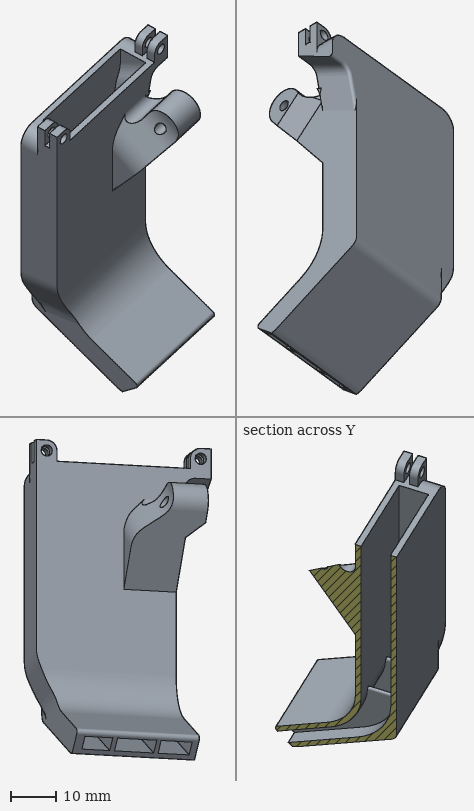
import cadquery as cq
import math


body_depth = 10.05
body_width = 40.0
wall = 1.5
lower_side_y = 4.0
far_side_y = 32.0
rim_corner_radius = 4.0

arm_slope = math.atan(0.5)
arm_floor_z = -56.4
arm_roof_z = -54.43
roof_bend_radius = 12.0
floor_bend_radius = 16.0
heel_radius = 2.5
tip_low_x = 25.15
tip_low_z = -68.7
tip_floor_radius = 5.0
tip_roof_radius = 0.85
tip_roof_corner_x = 29.85
tip_heel_x = 24.0

taper_top_z = -45.3
taper_bottom_z = -55.4
taper_radius = 10.0
taper_rise = math.tan(math.radians(8.8))

shoulder_z = -7.95
shoulder_corner_y = 34.4
shoulder_end_y = 31.8
shoulder_end_z = -19.5
shoulder_radius = 2.5
shoulder_rise = math.tan(math.radians(30))
shoulder_edge_radius = 0.65

cavity_near_y = 6.0
cavity_inlet_far_y = 34.0
cavity_far_y = far_side_y - wall
cavity_bevel_top_z = -6.9
cavity_knee_y = 32.65
cavity_knee_z = -9.3
cavity_bevel_end_z = -19.0
cavity_bevel_radius = 6.5

vane_top_z = -47.0
short_vane_y = 12.9
short_vane_thickness = 1.1
short_vane_start_x = 5.4
long_vane_y = 22.9
long_vane_thickness = 1.0

hole_diameter = 2.5
ear_start_x = 4.6
ear_height = 4.65
ear_length = 4.75
ear_radius = 2.35
ear_slot_x = 6.65
ear_slot_width = 1.3

lug_hole_x = 17.9
lug_hole_z = -9.48
lug_radius = 4.35
lug_slope = math.radians(33.4)
lug_root_z = -28.0
lug_notch_x = 12.0
lug_notch_radius = 2.0
lug_near_tip_y = 28.0
lug_near_root_y = 20.0
lug_far_y = 36.0
lug_step_radius = 6.0
lug_step_high = 2.0
lug_step_low = -4.6
lug_bevel_slope = math.radians(43.5)
lug_bevel_high = 3.5
lug_bevel_low = -0.3
lug_flare_x = 13.7

reach = 100.0


def rounded_outline(corners):
    """Point or (start, middle, end) arc for each (u, v, radius) corner; radius 0 is sharp."""
    count = len(corners)
    stretches = []
    for i in range(count):
        u, v, radius = corners[i]
        if radius == 0:
            stretches.append([(u, v)])
            continue
        corner = cq.Vector(u, v)
        before = (cq.Vector(*corners[i - 1][:2]) - corner).normalized()
        after = (cq.Vector(*corners[(i + 1) % count][:2]) - corner).normalized()
        half_angle = before.getAngle(after) / 2
        tangent = radius / math.tan(half_angle)
        bisector = (before + after).normalized()
        middle = corner + bisector * (radius / math.sin(half_angle) - radius)
        start = corner + before * tangent
        end = corner + after * tangent
        stretches.append([(p.x, p.y) for p in (start, middle, end)])
    return stretches


def draw(plane, corners):
    """Closed wire through the rounded corners on a base plane."""
    stretches = rounded_outline(corners)
    sketch = cq.Workplane(plane).moveTo(*stretches[0][-1])
    for stretch in stretches[1:] + stretches[:1]:
        sketch = sketch.lineTo(*stretch[0])
        if len(stretch) == 3:
            sketch = sketch.threePointArc(*stretch[1:])
    return sketch.close()


def slab(corners, y_start, y_end):
    """Solid with an XZ outline between two Y positions."""
    return draw("XZ", corners).extrude(y_start - y_end).translate((0, y_start, 0))


def slanted_prism(corners, rise):
    """Endless prism with the YZ outline at X = 0, climbing by rise per unit of X."""
    wire = draw("YZ", corners).val()
    half = cq.Vector(reach, 0, reach * rise)
    return cq.Workplane(cq.Solid.extrudeLinear(wire, [], half * 2)).translate(half * -1)


def box(x0, x1, y0, y1, z0, z1):
    """Block between pairs of X, Y and Z positions."""
    return cq.Workplane().box(x1 - x0, y1 - y0, z1 - z0, centered=False).translate((x0, y0, z0))


def floor_z(x):
    """Height of the arm underside."""
    return arm_floor_z - x * math.tan(arm_slope)


def roof_z(x):
    """Height of the arm top."""
    return arm_roof_z - (x - body_depth) * math.tan(arm_slope)


def duct_outline(outer_radius):
    """XZ outline of the bent duct with the given outer bend radius."""
    return [
        (0, 0, 0),
        (0, arm_floor_z, outer_radius),
        (tip_heel_x, floor_z(tip_heel_x), tip_floor_radius),
        (tip_low_x, tip_low_z, 0),
        (tip_roof_corner_x, roof_z(tip_roof_corner_x), tip_roof_radius),
        (body_depth, arm_roof_z, roof_bend_radius),
        (body_depth, 0, 0),
    ]


def make_body():
    """Bent duct with its tapered side and the overhanging shoulder, still solid."""
    main = slab(duct_outline(heel_radius), lower_side_y, far_side_y)
    near = slab(duct_outline(floor_bend_radius), 0, lower_side_y)
    taper = [
        (-1, 0, 0),
        (0, 0, 0),
        (0, taper_top_z, taper_radius),
        (lower_side_y, taper_bottom_z, taper_radius),
        (lower_side_y, -reach, 0),
        (-1, -reach, 0),
    ]
    near = near.cut(slanted_prism(taper, taper_rise))
    shoulder = box(0, body_depth, far_side_y, body_width, shoulder_end_z, 0)
    under = [
        (body_width + 1, shoulder_z, 0),
        (shoulder_corner_y, shoulder_z, shoulder_radius),
        (shoulder_end_y, shoulder_end_z, 0),
        (shoulder_end_y, -reach, 0),
        (body_width + 1, -reach, 0),
    ]
    shoulder = shoulder.cut(slanted_prism(under, shoulder_rise))
    edge = cq.selectors.NearestToPointSelector((0, body_width - 1, shoulder_z))
    shoulder = shoulder.edges(edge).fillet(shoulder_edge_radius)
    square_rim = box(0, ear_start_x, 0, body_width, -rim_corner_radius, 0)
    rounded_rim = box(0, ear_start_x, 0, body_width, -reach, 0)
    rounded_rim = rounded_rim.edges(">Z and |X").fillet(rim_corner_radius)
    return main.union(near).union(shoulder).cut(square_rim.cut(rounded_rim))


def make_ears():
    """Pair of slotted hinge ears standing on the rim."""
    ear = box(ear_start_x, body_depth, 0, ear_length, -wall, ear_height)
    ear = ear.edges("|X and >Z and >Y").fillet(ear_radius)
    hole = cq.Workplane("YZ").center(ear_length - ear_radius, ear_height - ear_radius)
    ear = ear.cut(hole.circle(hole_diameter / 2).extrude(body_depth))
    ear = ear.cut(box(ear_slot_x, ear_slot_x + ear_slot_width, 0, ear_length, 0, ear_height))
    return ear.union(ear.mirror("XZ").translate((0, body_width, 0)))


def make_cavity():
    """Air passage from the rim to the arm tip, less the flow vanes."""
    offset = wall / math.cos(arm_slope)
    floor_start = arm_floor_z + offset - wall * math.tan(arm_slope)
    inner_x = body_depth - wall
    roof_start = arm_roof_z - offset + wall * math.tan(arm_slope)
    run = 2 * tip_low_x
    drop = run * math.tan(arm_slope)
    outline = [
        (wall, 0, 0),
        (wall, floor_start, floor_bend_radius - wall),
        (wall + run, floor_start - drop, 0),
        (inner_x + run, roof_start - drop, 0),
        (inner_x, roof_start, roof_bend_radius + wall),
        (inner_x, 0, 0),
    ]
    cavity = slab(outline, cavity_near_y, cavity_inlet_far_y)
    bevel = [
        (body_width, reach, 0),
        (cavity_inlet_far_y, reach, 0),
        (cavity_inlet_far_y, cavity_bevel_top_z, cavity_bevel_radius),
        (cavity_knee_y, cavity_knee_z, cavity_bevel_radius),
        (cavity_far_y, cavity_bevel_end_z, 0),
        (cavity_far_y, -reach, 0),
        (body_width, -reach, 0),
    ]
    cavity = cavity.cut(slanted_prism(bevel, shoulder_rise))
    vanes = [
        (short_vane_start_x, short_vane_y, short_vane_thickness),
        (0, long_vane_y, long_vane_thickness),
    ]
    for start_x, y, thickness in vanes:
        half = thickness / 2
        crown_z = vane_top_z - half
        vane = (
            cq.Workplane("YZ", origin=(start_x, 0, 0))
            .moveTo(y - half, -reach)
            .lineTo(y - half, crown_z)
            .threePointArc((y, vane_top_z), (y + half, crown_z))
            .lineTo(y + half, -reach)
            .close()
            .extrude(reach)
        )
        cavity = cavity.cut(vane)
    return cavity


def make_lug():
    """Slanted mounting lug with a round, drilled eye."""
    along = (math.cos(lug_slope), -math.sin(lug_slope))
    across = (math.sin(lug_slope), math.cos(lug_slope))
    low = (lug_hole_x + lug_radius * along[0], lug_hole_z + lug_radius * along[1])
    root_x = body_depth - wall / 2
    eye_gap = lug_radius + lug_notch_radius
    notch_z = lug_hole_z + math.sqrt(eye_gap ** 2 - (lug_hole_x - lug_notch_x) ** 2)
    share = lug_radius / eye_gap
    join = (lug_hole_x + share * (lug_notch_x - lug_hole_x), lug_hole_z + share * (notch_z - lug_hole_z))
    notch_side = math.sqrt(lug_notch_radius ** 2 - (lug_notch_x - body_depth) ** 2)
    lug = (
        cq.Workplane("XZ")
        .moveTo(root_x, lug_root_z)
        .lineTo(body_depth, lug_root_z)
        .lineTo(*low)
        .threePointArc((lug_hole_x + lug_radius * across[0], lug_hole_z + lug_radius * across[1]), join)
        .threePointArc((lug_notch_x, notch_z - lug_notch_radius), (body_depth, notch_z - notch_side))
        .lineTo(root_x, notch_z - notch_side)
        .close()
        .extrude(-lug_far_y)
    )
    near_cut = [
        (-1, reach, 0),
        (lug_near_tip_y, reach, 0),
        (lug_near_tip_y, lug_step_high, lug_step_radius),
        (lug_near_root_y, lug_step_low, lug_step_radius),
        (lug_near_root_y, -reach, 0),
        (-1, -reach, 0),
    ]
    far_cut = [
        (lug_far_y, lug_bevel_high, 0),
        (far_side_y, lug_bevel_low, 0),
        (far_side_y, -reach, 0),
        (lug_far_y, -reach, 0),
    ]
    for corners, slope in ((near_cut, lug_slope), (far_cut, lug_bevel_slope)):
        level = slanted_prism(corners, 0)
        lug = lug.cut(level.rotate((0, 0, 0), (0, 1, 0), math.degrees(slope)))
    flare_cut = [(body_depth, far_side_y), (lug_flare_x, lug_far_y), (body_depth, lug_far_y)]
    flare = cq.Workplane(origin=(0, 0, -reach)).polyline(flare_cut).close().extrude(2 * reach)
    lug = lug.cut(flare)
    hole = cq.Workplane("XZ").center(lug_hole_x, lug_hole_z).circle(hole_diameter / 2).extrude(-body_width)
    return lug.cut(hole)


result = make_body().union(make_ears()).union(make_lug()).cut(make_cavity())